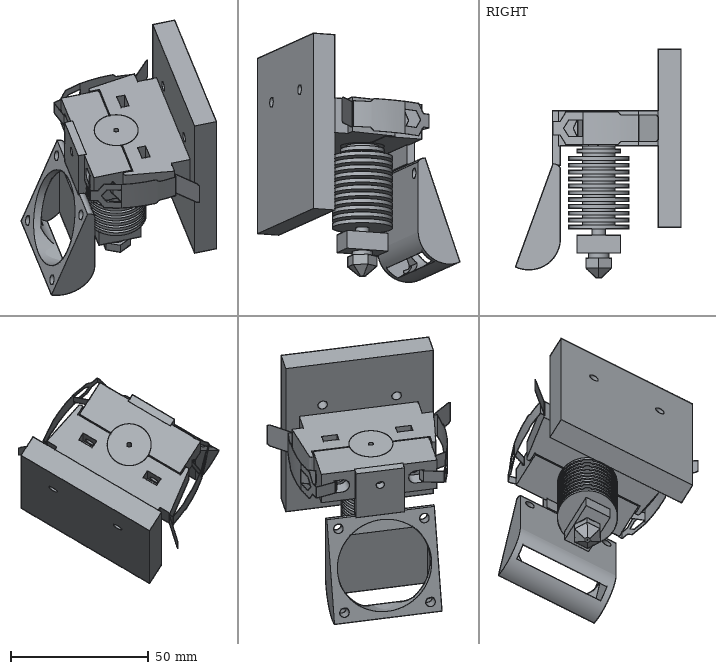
import cadquery as cq
import math


block_top = 61.0
block_height = 12.9
block_bottom = block_top - block_height
block_mid = block_top - block_height / 2

plate_width = 55.0
plate_center_x = 0.3
plate_back = 30.1
plate_front = 21.7
plate_top = 83.5
plate_height = 65.05
plate_hole_diameter = 3.5
plate_hole_spacing = 27.55
plate_hole_z = 64.9
neck_half_width = 22.1
shoulder_y = 14.5
shoulder_half_width = 26.4
ear_end_y = -3.7
ear_end_half_width = 23.5
ear_inner_half_width = 22.05
ear_round = 0.75
mount_face_y = 0.0

clamp_half_width = 21.55
clamp_back = -0.4
clamp_front = -14.7
clamp_screw_x = 13.8
clamp_screw_diameter = 3.5
clamp_recess_diameter = 5.5
clamp_recess_depth = 5.0
clamp_recess_reach = 3.0
nut_slot_width = 5.8
nut_slot_thickness = 3.0
nut_slot_back = 8.0
nut_slot_depth = block_height / 2 + nut_slot_width / 2

flange_diameter = 16.0
neck_diameter = 12.0
top_flange_height = 3.7
groove_height = 6.0
fin_diameter = 22.0
fin_thickness = 1.4
fin_pitch = 2.5
fin_count = 11
first_fin_top = 44.3
small_fin_top = 47.0
heat_break_diameter = 5.0
heater_top = 15.6
heater_bottom = 9.0
heater_width = 10.0
heater_length = 16.0
nozzle_neck_diameter = 7.5
hex_top = 7.3
hex_bottom = 3.6
hex_across_flats = 9.35
nozzle_tip_diameter = 1.9
filament_diameter = 1.75
orifice_diameter = 0.4
orifice_length = 2.0

duct_width = 40.1
duct_center_x = 0.2
duct_tilt = 20.0
duct_top = 41.7
duct_back = -13.95
duct_lip = 2.75
duct_crown_drop = 1.7
tab_width = 18.0
tab_thickness = 3.0
tab_bottom = 41.1
tab_hole_diameter = 3.0
duct_curve_start_z = 13.9
duct_lowest_y = -25.05
duct_lowest_z = 2.9
fan_bore_diameter = 35.1
fan_rim_depth = 3.0
fan_hole_diameter = 3.5
fan_hole_spacing = 32.1
fan_hole_depth = 5.85
duct_wall = 2.6
outlet_front = -21.1
floor_edge_z = 3.8
floor_middle_y = -23.7
floor_middle_z = 5.6
floor_end_z = 8.35

clip_thickness = 0.1
clip_tail_tip = (-34.15, 21.7)
clip_tail_root = (-26.2, 14.7)
clip_heel = (-27.9, 14.7)
clip_bow_start = (-27.9, 13.95)
clip_bow_middle = (-28.55, 5.5)
clip_bow_end = (-27.4, -5.85)
clip_front_corner = (-23.9, -16.7)
clip_hook_start = (-23.1, -16.7)
clip_hook_bend = (-16.4, -15.1)
clip_hook_tip = (-15.4, -12.95)
clip_half_height = 6.0
clip_tail_half_height = 4.8
clip_hook_half_height = 2.5
clip_tail_chamfer = 0.7
clip_tail_taper_y = (8.2, 6.9)
clip_hook_taper_y = (-11.9, -14.1)
window_half_height = 3.1
window_back = -5.85
window_shoulder = -10.85
window_point = -12.9
tongue_bend = (-22.2, -7.7)
tongue_tip = (-22.2, -9.3)
tongue_shoulder = -7.85


def box(x_range, y_range, z_range):
    """Box between two X, two Y and two Z values."""
    (x0, x1), (y0, y1), (z0, z1) = x_range, y_range, z_range
    return cq.Workplane("XY").box(x1 - x0, y1 - y0, z1 - z0, centered=False).translate((x0, y0, z0))


def rod(diameter, bottom, top):
    """Cylinder on the hotend axis."""
    return cq.Workplane("XY").workplane(offset=bottom).circle(diameter / 2).extrude(top - bottom)


def hole_along_y(x, z, diameter, front, back):
    """Cylinder parallel to Y, used as a cutter."""
    plane = cq.Workplane("XZ", origin=(x, back, z))
    return plane.circle(diameter / 2).extrude(back - front)


def grooved_seat():
    """The part of the hotend held by the clamp block: flange, groove, flange."""
    groove_top = block_top - top_flange_height
    groove_bottom = groove_top - groove_height
    return (
        rod(flange_diameter, groove_top, block_top)
        .union(rod(neck_diameter, groove_bottom, groove_top))
        .union(rod(flange_diameter, block_bottom, groove_bottom))
    )


def make_mount():
    plate_x = (plate_center_x - plate_width / 2, plate_center_x + plate_width / 2)
    plate = box(plate_x, (plate_front, plate_back), (plate_top - plate_height, plate_top))

    half_outline = [
        (0, plate_front),
        (neck_half_width, plate_front),
        (neck_half_width, shoulder_y),
        (shoulder_half_width, shoulder_y),
        (ear_end_half_width, ear_end_y),
        (ear_inner_half_width, ear_end_y),
        (ear_inner_half_width, mount_face_y),
        (0, mount_face_y),
    ]
    half = cq.Workplane("XY").workplane(offset=block_bottom).polyline(half_outline).close()
    half = half.extrude(block_height)
    ear_corner = cq.selectors.NearestToPointSelector((ear_end_half_width, ear_end_y, block_mid))
    half = half.edges("|Z").edges(ear_corner).fillet(ear_round)
    mount = plate.union(half).union(half.mirror("YZ"))

    for side in (-1, 1):
        plate_hole_x = plate_center_x + side * plate_hole_spacing / 2
        mount = mount.cut(
            hole_along_y(plate_hole_x, plate_hole_z, plate_hole_diameter, plate_front, plate_back)
        )
        screw_x = side * clamp_screw_x
        mount = mount.cut(
            hole_along_y(screw_x, block_mid, clamp_screw_diameter, mount_face_y, nut_slot_back)
        )
        nut_slot = box(
            (screw_x - nut_slot_width / 2, screw_x + nut_slot_width / 2),
            (nut_slot_back - nut_slot_thickness, nut_slot_back),
            (block_top - nut_slot_depth, block_top),
        )
        mount = mount.cut(nut_slot)
    return mount.cut(grooved_seat())


def make_clamp():
    clamp = box((-clamp_half_width, clamp_half_width), (clamp_front, clamp_back), (block_bottom, block_top))
    tab_recess = box((-tab_width / 2, tab_width / 2), (clamp_front, duct_back), (block_bottom, block_top))
    clamp = clamp.cut(tab_recess).cut(grooved_seat())

    recess_radius = clamp_recess_diameter / 2
    recess_y = (clamp_front, clamp_front + clamp_recess_depth)
    for side in (-1, 1):
        screw_x = side * clamp_screw_x
        outer_x = side * (clamp_screw_x + clamp_recess_reach)
        recess_end = box(
            (min(screw_x, outer_x), max(screw_x, outer_x)),
            recess_y,
            (block_mid - recess_radius, block_mid + recess_radius),
        )
        clamp = (
            clamp.cut(hole_along_y(screw_x, block_mid, clamp_screw_diameter, clamp_front, clamp_back))
            .cut(hole_along_y(screw_x, block_mid, clamp_recess_diameter, *recess_y))
            .cut(recess_end)
        )
    return clamp


def make_nozzle():
    hex_diameter = hex_across_flats / math.cos(math.pi / 6)
    tip_hex_diameter = nozzle_tip_diameter / math.cos(math.pi / 6)
    hexagon = cq.Workplane("XY").workplane(offset=hex_bottom).polygon(6, hex_diameter)
    hexagon = hexagon.extrude(hex_top - hex_bottom)
    point = (
        cq.Workplane("XY")
        .polygon(6, tip_hex_diameter)
        .workplane(offset=hex_bottom)
        .polygon(6, hex_diameter)
        .loft(ruled=True)
    )
    return rod(nozzle_neck_diameter, hex_top, heater_bottom).union(hexagon).union(point)


def make_hotend():
    last_fin_bottom = first_fin_top - (fin_count - 1) * fin_pitch - fin_thickness
    hotend = grooved_seat().union(rod(neck_diameter, last_fin_bottom, block_bottom))
    hotend = hotend.union(rod(flange_diameter, small_fin_top - fin_thickness, small_fin_top))
    for index in range(fin_count):
        fin_top = first_fin_top - index * fin_pitch
        hotend = hotend.union(rod(fin_diameter, fin_top - fin_thickness, fin_top))

    heater = box(
        (-heater_width / 2, heater_width / 2),
        (-heater_length / 2, heater_length / 2),
        (heater_bottom, heater_top),
    )
    hotend = hotend.union(rod(heat_break_diameter, heater_top, last_fin_bottom))
    hotend = hotend.union(heater).union(make_nozzle())
    filament_bore = rod(filament_diameter, orifice_length, block_top)
    orifice = rod(orifice_diameter, 0, orifice_length)
    return hotend.cut(filament_bore).cut(orifice)


def duct_prism(outline, width):
    """Prism along X, centred on the duct, whose outline(plane) draws its open YZ profile."""
    return outline(cq.Workplane("YZ", origin=(duct_center_x - width / 2, 0, 0))).close().extrude(width)


def make_duct():
    tilt = math.radians(duct_tilt)
    lip_y = duct_back - duct_lip
    tip_y = lip_y - duct_width * math.sin(tilt)
    tip_z = duct_top - duct_width * math.cos(tilt)

    def in_face(distance, depth):
        """(Y, Z) of a point this far down the tilted face and this deep behind it."""
        y = lip_y - distance * math.sin(tilt) + depth * math.cos(tilt)
        z = duct_top - distance * math.cos(tilt) - depth * math.sin(tilt)
        return y, z

    def shell_outline(plane):
        crown_radius = (duct_lip**2 + duct_crown_drop**2) / (2 * duct_crown_drop)
        crown_middle_drop = crown_radius - math.sqrt(crown_radius**2 - (duct_lip / 2) ** 2)
        return (
            plane.moveTo(lip_y, duct_top)
            .lineTo(tip_y, tip_z)
            .threePointArc((duct_lowest_y, duct_lowest_z), (duct_back, duct_curve_start_z))
            .lineTo(duct_back, duct_top - duct_crown_drop)
            .threePointArc((duct_back - duct_lip / 2, duct_top - crown_middle_drop), (lip_y, duct_top))
        )

    rim_start_y, rim_start_z = in_face(0, fan_rim_depth)

    def rim_z(y):
        return rim_start_z - (rim_start_y - y) / math.tan(tilt)

    wall_y = duct_back - duct_wall
    floor_end_y = rim_start_y - (rim_start_z - floor_end_z) * math.tan(tilt)

    def chamber_outline(plane):
        return (
            plane.moveTo(wall_y, rim_z(wall_y))
            .lineTo(wall_y, 0)
            .lineTo(outlet_front, 0)
            .lineTo(outlet_front, floor_edge_z)
            .threePointArc((floor_middle_y, floor_middle_z), (floor_end_y, floor_end_z))
        )

    rim_bottom = in_face((duct_width + fan_bore_diameter) / 2, fan_rim_depth)

    def trough_outline(plane):
        return (
            plane.moveTo(*rim_bottom)
            .lineTo(outlet_front, floor_edge_z)
            .lineTo(outlet_front, rim_z(outlet_front))
        )

    face = cq.Workplane(
        cq.Plane(
            origin=(duct_center_x, *in_face(duct_width / 2, 0)),
            xDir=(1, 0, 0),
            normal=(0, -math.cos(tilt), math.sin(tilt)),
        )
    )
    bore = face.circle(fan_bore_diameter / 2).extrude(-fan_rim_depth)
    long_bore = face.circle(fan_bore_diameter / 2).extrude(-duct_width)
    trough = long_bore.intersect(duct_prism(trough_outline, fan_bore_diameter))
    screw_holes = (
        face.rect(fan_hole_spacing, fan_hole_spacing, forConstruction=True)
        .vertices()
        .circle(fan_hole_diameter / 2)
        .extrude(-fan_hole_depth)
    )

    tab_y = (duct_back - tab_thickness, duct_back)
    tab = box((-tab_width / 2, tab_width / 2), tab_y, (tab_bottom, block_top))
    tab = tab.cut(hole_along_y(0, block_mid, tab_hole_diameter, *tab_y))
    shell = duct_prism(shell_outline, duct_width).cut(duct_prism(chamber_outline, fan_bore_diameter))
    return shell.cut(bore).cut(trough).cut(screw_holes).union(tab)


def left_normal(start, end):
    """Unit vector pointing left of the direction from start to end."""
    length = math.dist(start, end)
    return (start[1] - end[1]) / length, (end[0] - start[0]) / length


def offset_line(points):
    """Points of a bent line moved left of the direction of travel by the clip thickness."""
    normals = [left_normal(start, end) for start, end in zip(points, points[1:])]
    shifted = []
    for (x, y), before, after in zip(points, normals[:1] + normals, normals + normals[-1:]):
        reach = clip_thickness / (1 + before[0] * after[0] + before[1] * after[1])
        shifted.append((x + reach * (before[0] + after[0]), y + reach * (before[1] + after[1])))
    return shifted


def bent_sheet(points):
    """Sheet of the clip thickness standing along a bent line, centred on the block height."""
    outline = points + offset_line(points)[::-1]
    sheet = cq.Workplane("XY").workplane(offset=block_mid - clip_half_height).polyline(outline).close()
    return sheet.extrude(2 * clip_half_height)


def side_profile(half_points):
    """Slab across X whose YZ outline mirrors the given (Y, half height) points about the block middle."""
    upper = [(y, block_mid + half) for y, half in half_points]
    lower = [(y, block_mid - half) for y, half in reversed(half_points) if half > 0]
    width = 4 * abs(clip_tail_tip[0])
    return cq.Workplane("YZ", origin=(-width / 2, 0, 0)).polyline(upper + lower).close().extrude(width)


def bow_sheet():
    """Bowed middle of the clip: an arc sheet thickened inward."""
    inner_start = (clip_bow_start[0] + clip_thickness, clip_bow_start[1])
    inner_middle = (clip_bow_middle[0] + clip_thickness, clip_bow_middle[1])
    inner_end = (clip_bow_end[0] + clip_thickness, clip_bow_end[1])
    return (
        cq.Workplane("XY")
        .workplane(offset=block_mid - clip_half_height)
        .moveTo(*clip_bow_start)
        .threePointArc(clip_bow_middle, clip_bow_end)
        .lineTo(*inner_end)
        .threePointArc(inner_middle, inner_start)
        .close()
        .extrude(2 * clip_half_height)
    )


def make_clip(side):
    """One spring clip, shaped on the -X side (side = -1) and mirrored for the +X side (side = 1)."""
    outline = side_profile(
        [
            (clip_tail_tip[1] + clip_thickness, clip_tail_half_height - clip_tail_chamfer),
            (clip_tail_tip[1] - clip_tail_chamfer, clip_tail_half_height),
            (clip_tail_taper_y[0], clip_tail_half_height),
            (clip_tail_taper_y[1], clip_half_height),
            (clip_hook_taper_y[0], clip_half_height),
            (clip_hook_taper_y[1], clip_hook_half_height),
            (clip_front_corner[1] - clip_thickness, clip_hook_half_height),
        ]
    )
    window = side_profile(
        [
            (window_back, window_half_height),
            (window_shoulder, window_half_height),
            (window_point, 0),
        ]
    )
    tail = bent_sheet([clip_tail_tip, clip_tail_root, clip_heel, clip_bow_start])
    front = bent_sheet([clip_bow_end, clip_front_corner])
    body = tail.union(bow_sheet()).union(front).intersect(outline).cut(window)

    hook_outline = side_profile(
        [
            (clip_hook_tip[1] + clip_thickness, clip_hook_half_height),
            (clip_front_corner[1] - clip_thickness, clip_hook_half_height),
        ]
    )
    hook = bent_sheet([clip_front_corner, clip_hook_start, clip_hook_bend, clip_hook_tip])
    hook = hook.intersect(hook_outline)

    tongue_outline = side_profile(
        [
            (clip_bow_end[1] + clip_thickness, window_half_height),
            (tongue_shoulder, window_half_height),
            (tongue_tip[1], 0),
        ]
    )
    tongue = bent_sheet([clip_bow_end, tongue_bend, tongue_tip]).intersect(tongue_outline)
    clip = body.union(hook).union(tongue)
    return clip if side < 0 else clip.mirror("YZ")


mount = make_mount()
clamp = make_clamp()
hotend = make_hotend()
duct = make_duct()
clips = [make_clip(side) for side in (-1, 1)]

result = cq.Compound.makeCompound([body.solids().val() for body in (mount, clamp, hotend, duct, *clips)])